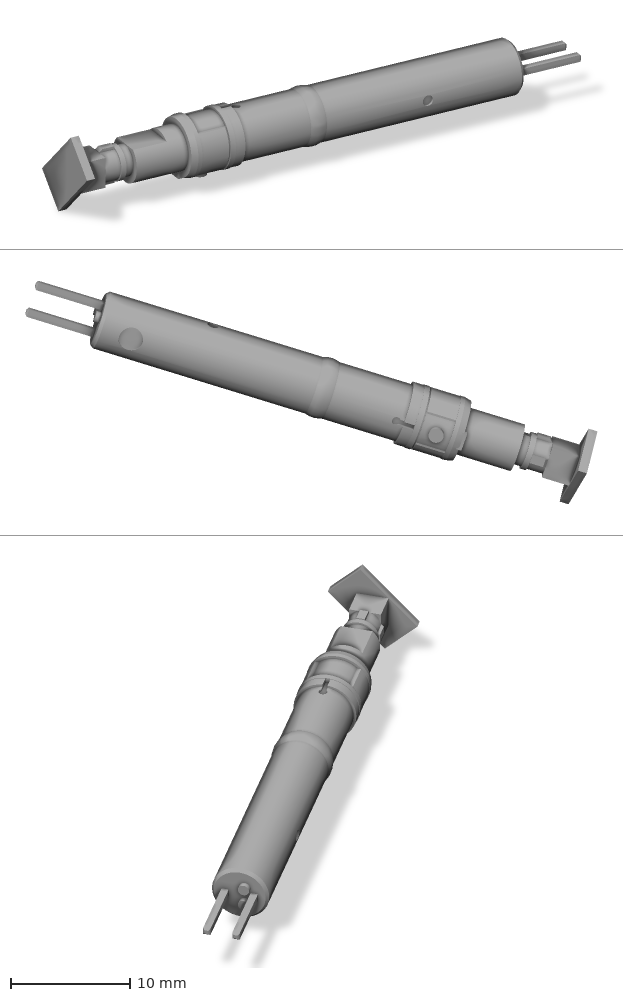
import cadquery as cq


TUBE_R = 2.5
TUBE_REAR_Y = 18.4
REAR_CHAMFER_LENGTH = 0.3
REAR_CHAMFER_DEPTH = 0.25

BEAD_REAR_Y = -0.6
BEAD_FRONT_Y = -2.1
BEAD_R = 2.65

BAND_R = 2.75
COLLAR_R = 2.8
BAND_REAR_Y = -8.5
FLANGE_REAR_Y = -9.45
WAIST_REAR_Y = -9.95
LIP_REAR_Y = -12.65
LIP_CHAMFER_Y = -13.05
COLLAR_FRONT_Y = -13.65
LIP_FRONT_R = 2.65

GROOVE_WIDTH = 0.15
GROOVE_R = 2.6

TOP_WINDOW_Z = 1.85
BOTTOM_WINDOW_Z = 2.25
BOTTOM_WINDOW_FLOOR_R = 2.65

BUTTON_R = 0.65
BUTTON_Y = -11.4
BUTTON_BOTTOM_Z = -3.0
TAB_WIDTH = 1.55
TAB_LENGTH = 0.25
TAB_TOP_Z = -1.9
TAB_BOTTOM_Z = -2.6

NOSE_R = 2.05
NOSE_FRONT_Y = -18.55
FLAT_REAR_Y = -15.35
FLAT_Z = 1.5

RECESS_DEPTH = 0.25
KEYHOLE_R = 0.365
KEYHOLE_Y = -7.9
KEYHOLE_SLOT_WIDTH = 0.45
SIDE_HOLE_R = 0.5
SIDE_HOLE_Y = 9.1
BOTTOM_HOLE_R = 1.0
BOTTOM_HOLE_Y = 15.55

STANDOFF_R = 0.5
STANDOFF_X = -0.45
STANDOFF_Z = 0.8
STANDOFF_HEIGHT = 0.45

PIN_SIZE = 0.65
PIN_X = 1.25
PIN_END_Y = 24.35
PIN_TIP_CHAMFER = 0.15
PIN_SEAT_DEPTH = 1.95

SHAFT_R = 1.4
SHAFT_SEAT_DEPTH = 2.45
RIM_REAR_Y = -19.3
RIM_FRONT_Y = -19.75
RIM_R = 1.6
HUB_R = 1.45
HUB_FRONT_Y = -21.2
KEY_R = 1.7
KEY_WIDTH = 0.75
KEY_CHAMFER = 0.25
KEY_ANGLES = [90, 180, 270]
SHAFT_HOLE_R = 0.3
SHAFT_HOLE_Y = -19.1
BLOCK_WIDTH = 2.8
PLATE_LENGTH = 7.0
PLATE_WIDTH = 4.0
PLATE_ANGLE = 45.0
PLATE_REAR_Y = -23.55
PLATE_FRONT_Y = -24.35


def facing_front(y):
    """Workplane across the probe axis at y, extruding toward -Y."""
    return cq.Workplane("XZ", origin=(0, y, 0))


def cylinder_along_axis(radius, rear_y, front_y):
    return facing_front(rear_y).circle(radius).extrude(rear_y - front_y)


def barrel_body():
    """Tube, bead, collar and nose as one turned profile of radius against Y."""
    return (
        cq.Workplane("XY")
        .moveTo(0, TUBE_REAR_Y)
        .lineTo(TUBE_R - REAR_CHAMFER_DEPTH, TUBE_REAR_Y)
        .lineTo(TUBE_R, TUBE_REAR_Y - REAR_CHAMFER_LENGTH)
        .lineTo(TUBE_R, BEAD_REAR_Y)
        .threePointArc((BEAD_R, (BEAD_REAR_Y + BEAD_FRONT_Y) / 2), (TUBE_R, BEAD_FRONT_Y))
        .lineTo(TUBE_R, BAND_REAR_Y)
        .lineTo(BAND_R, BAND_REAR_Y)
        .lineTo(BAND_R, FLANGE_REAR_Y)
        .lineTo(COLLAR_R, FLANGE_REAR_Y)
        .lineTo(COLLAR_R, WAIST_REAR_Y)
        .lineTo(GROOVE_R, WAIST_REAR_Y)
        .lineTo(GROOVE_R, WAIST_REAR_Y - GROOVE_WIDTH)
        .lineTo(BAND_R, WAIST_REAR_Y - GROOVE_WIDTH)
        .lineTo(BAND_R, LIP_REAR_Y)
        .lineTo(COLLAR_R, LIP_REAR_Y)
        .lineTo(COLLAR_R, LIP_CHAMFER_Y)
        .lineTo(LIP_FRONT_R, COLLAR_FRONT_Y)
        .lineTo(NOSE_R, COLLAR_FRONT_Y)
        .lineTo(NOSE_R, NOSE_FRONT_Y)
        .lineTo(0, NOSE_FRONT_Y)
        .close()
        .revolve(360, (0, 0, 0), (0, 1, 0))
    )


def waist_window(level_z, floor_r):
    """Cutter for the window above level_z, leaving a round floor of radius floor_r."""
    length = WAIST_REAR_Y - LIP_REAR_Y
    opening = (
        facing_front(WAIST_REAR_Y)
        .center(0, level_z + COLLAR_R / 2)
        .rect(2 * COLLAR_R, COLLAR_R)
        .extrude(length)
    )
    return opening.cut(cylinder_along_axis(floor_r, WAIST_REAR_Y, LIP_REAR_Y))


def nose_flat():
    length = FLAT_REAR_Y - NOSE_FRONT_Y
    return (
        cq.Workplane("XY", origin=(0, FLAT_REAR_Y - length / 2, FLAT_Z))
        .rect(2 * NOSE_R, length)
        .extrude(NOSE_R)
    )


def keyhole():
    """Cutter for the top keyhole: a round hole with a slot running forward through the band."""
    slot_length = KEYHOLE_Y - FLANGE_REAR_Y
    plane = cq.Workplane("XY", origin=(0, KEYHOLE_Y, TUBE_R - RECESS_DEPTH))
    hole = plane.circle(KEYHOLE_R).extrude(COLLAR_R)
    slot = plane.center(0, -slot_length / 2).rect(KEYHOLE_SLOT_WIDTH, slot_length).extrude(COLLAR_R)
    return hole.union(slot)


def side_hole(side):
    floor_x = side * (TUBE_R - RECESS_DEPTH)
    return (
        cq.Workplane("YZ", origin=(floor_x, SIDE_HOLE_Y, 0))
        .circle(SIDE_HOLE_R)
        .extrude(side * COLLAR_R)
    )


def bottom_hole():
    return (
        cq.Workplane("XY", origin=(0, BOTTOM_HOLE_Y, RECESS_DEPTH - TUBE_R))
        .circle(BOTTOM_HOLE_R)
        .extrude(-COLLAR_R)
    )


def button():
    return (
        cq.Workplane("XY", origin=(0, BUTTON_Y, BUTTON_BOTTOM_Z))
        .circle(BUTTON_R)
        .extrude(TAB_TOP_Z - BUTTON_BOTTOM_Z)
    )


def stop_tab():
    """Small block under the nose, running forward from inside the collar lip."""
    return (
        facing_front(LIP_CHAMFER_Y)
        .center(0, (TAB_TOP_Z + TAB_BOTTOM_Z) / 2)
        .rect(TAB_WIDTH, TAB_TOP_Z - TAB_BOTTOM_Z)
        .extrude(LIP_CHAMFER_Y - COLLAR_FRONT_Y + TAB_LENGTH)
    )


def rear_standoffs():
    return (
        facing_front(TUBE_REAR_Y)
        .pushPoints([(STANDOFF_X, STANDOFF_Z), (STANDOFF_X, -STANDOFF_Z)])
        .circle(STANDOFF_R)
        .extrude(-STANDOFF_HEIGHT)
    )


def make_pin(x):
    """Square contact pin seated in the rear of the barrel, with a chamfered tip."""
    seat_y = TUBE_REAR_Y - PIN_SEAT_DEPTH
    return (
        facing_front(seat_y)
        .center(x, 0)
        .rect(PIN_SIZE, PIN_SIZE)
        .extrude(seat_y - PIN_END_Y)
        .faces(">Y")
        .chamfer(PIN_TIP_CHAMFER)
    )


def plunger_key(angle):
    """Raised key on the hub, pointing along the given angle from +X toward +Z."""
    key = facing_front(RIM_FRONT_Y).center(KEY_R / 2, 0).rect(KEY_R, KEY_WIDTH)
    key = key.extrude(RIM_FRONT_Y - HUB_FRONT_Y)
    key = key.edges(">X and <Y").chamfer(KEY_CHAMFER)
    return key.rotate((0, 0, 0), (0, -1, 0), angle)


def make_plunger():
    shaft_rear_y = NOSE_FRONT_Y + SHAFT_SEAT_DEPTH
    shaft = cylinder_along_axis(SHAFT_R, shaft_rear_y, HUB_FRONT_Y)
    rim = cylinder_along_axis(RIM_R, RIM_REAR_Y, RIM_FRONT_Y)
    hub = cylinder_along_axis(HUB_R, RIM_FRONT_Y, HUB_FRONT_Y)
    block = facing_front(HUB_FRONT_Y).rect(BLOCK_WIDTH, BLOCK_WIDTH).extrude(HUB_FRONT_Y - PLATE_REAR_Y)
    plate = (
        facing_front(PLATE_REAR_Y)
        .transformed(rotate=(0, 0, PLATE_ANGLE))
        .rect(PLATE_LENGTH, PLATE_WIDTH)
        .extrude(PLATE_REAR_Y - PLATE_FRONT_Y)
    )
    shaft_hole = (
        cq.Workplane("YZ", origin=(RECESS_DEPTH - SHAFT_R, SHAFT_HOLE_Y, 0))
        .circle(SHAFT_HOLE_R)
        .extrude(-RIM_R)
    )
    body = shaft.union(rim).cut(shaft_hole).union(hub).union(block).union(plate)
    for angle in KEY_ANGLES:
        body = body.union(plunger_key(angle))
    return body


def make_barrel(inserts):
    """Barrel with all its features, hollowed where the inserted bodies sit."""
    body = barrel_body().cut(nose_flat())
    body = body.cut(waist_window(TOP_WINDOW_Z, TUBE_R))
    body = body.cut(waist_window(BOTTOM_WINDOW_Z, BOTTOM_WINDOW_FLOOR_R).mirror("XY"))
    body = body.cut(keyhole()).cut(keyhole().mirror("XY"))
    body = body.cut(side_hole(1)).cut(side_hole(-1)).cut(bottom_hole())
    body = body.union(button()).union(stop_tab()).union(rear_standoffs())
    for insert in inserts:
        body = body.cut(insert)
    return body


pins = [make_pin(x) for x in (-PIN_X, PIN_X)]
plunger = make_plunger()
barrel = make_barrel([*pins, plunger])

result = cq.Compound.makeCompound([barrel.val(), plunger.val(), *[pin.val() for pin in pins]])